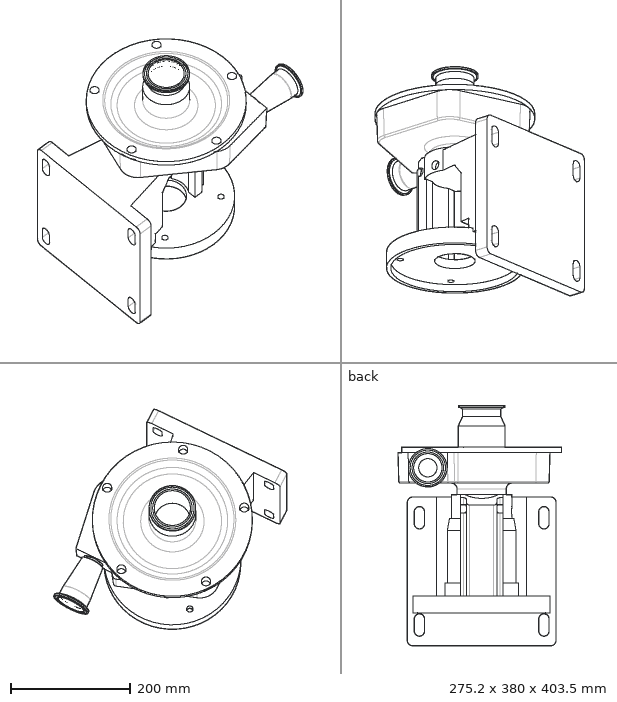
import cadquery as cq
import math

TOTAL_HEIGHT = 403.5

FLANGE_RADIUS = 134.5
FLANGE_TOP = 333.5
FLANGE_THICKNESS = 9.3
FLANGE_BOTTOM = FLANGE_TOP - FLANGE_THICKNESS
BOLT_COUNT = 5
BOLT_CIRCLE_RADIUS = 122.3
BOLT_HOLE_RADIUS = 7.5
BOLT_HOLE_DEPTH = 24.2
DRILL_TIP_HALF_ANGLE = 59.0
DISH_RIM_RADIUS = 106.5
DISH_DEPTH = 13.7
DISH_WALL_ANGLE = 40.0
DISH_RIM_ROUND = 5.0
DISH_FLOOR_ROUND = 16.0

SUCTION_RADIUS = 39.5
SUCTION_NECK_RADIUS = 32.3
SUCTION_BORE_RADIUS = 30.3
SUCTION_CONE_BOTTOM = 369.2
SUCTION_CONE_TOP = 385.0
SUCTION_RIM_RADIUS = 39.0

FERRULE_RIM_THICKNESS = 3.2
FERRULE_BACK_HEIGHT = 3.0
FERRULE_BACK_STEP = 2.5
FERRULE_GROOVE_RADIUS = 1.5

VOLUTE_SIDES = 5
VOLUTE_HALF_STEP = 180 / VOLUTE_SIDES
VOLUTE_CORNER_RADIUS = 33.5
VOLUTE_CORNER_CENTRE = 100.5
VOLUTE_HEIGHT = 51.2
VOLUTE_BOTTOM = FLANGE_BOTTOM - VOLUTE_HEIGHT
VOLUTE_DRAFT = 1.5
VOLUTE_EDGE_ROUND = 3.2
TONGUE_CORNER_RADIUS = 6.0
SHOULDER_Y = 116.0
SHOULDER_RIGHT_X = 123.5
SHOULDER_SIDE_ANGLE = 9.4

NOZZLE_X = 90.5
NOZZLE_Z = 299.0
NOZZLE_END_Y = 200.5
NOZZLE_CONE_START_Y = 119.5
NOZZLE_CONE_END_Y = 179.5
NOZZLE_ROOT_RADIUS = 17.5
NOZZLE_CONE_RADIUS = 19.8
NOZZLE_RADIUS = 26.0
NOZZLE_RIM_RADIUS = 32.3
NOZZLE_WALL = 2.0
NOZZLE_EMBED = 4.0

HUB_RADIUS = 41.5
HUB_FILLET = 9.5
COLLAR_RADIUS = 51.0
COLLAR_TOP = 254.0
COLLAR_BOTTOM = 213.5
COLLAR_HOLE_RADIUS = 7.5
COLLAR_HOLE_Z = 226.0

PLATE_SIZE = 250.0
PLATE_FRONT_Y = -179.5
PLATE_THICKNESS = 25.5
PLATE_BACK_Y = PLATE_FRONT_Y + PLATE_THICKNESS
PLATE_CORNER_RADIUS = 9.5
SLOT_WIDTH = 17.0
SLOT_LENGTH = 37.0
SLOT_SPACING_X = 209.0
SLOT_SPACING_Z = 180.0

MOTOR_FLANGE_RADIUS = 115.0
MOTOR_FLANGE_BOTTOM = 55.3
MOTOR_FLANGE_TOP = 84.0
MOTOR_BORE_RADIUS = 34.0
MOTOR_PILOT_RADIUS = 107.7
MOTOR_PILOT_DEPTH = 12.5
MOTOR_BOLT_COUNT = 4
MOTOR_BOLT_START_ANGLE = 45.0
MOTOR_BOLT_CIRCLE_RADIUS = 92.0
MOTOR_BOLT_RADIUS = 5.2

WEB_HALF_WIDTH_AT_PLATE = 75.5
WEB_HALF_WIDTH_AT_AXIS = 45.0
WEB_BOTTOM = 77.0
WEB_INNER_Y = -63.5
WEB_CHAMFER_Y = 17.8
WEB_CHAMFER_Z = 19.8
NOTCH_TOP = 105.5
NOTCH_LENGTH_Y = 20.5
NOTCH_ANGLE = 56.0

PILLAR_HALF_WIDTH = 36.0
PILLAR_FRONT_Y = 32.3
PILLAR_STEP_Y = 49.2
PILLAR_BACK_Y = 65.5
PILLAR_RIB_HALF_WIDTH = 25.5
PILLAR_ROUND = 5.2
PILLAR_RELIEF_RADIUS = 38.5
PILLAR_CHAMFER_Y = 22.5
PILLAR_CHAMFER_Z = 17.5
PILLAR_HOLE_RADIUS = 7.3
PILLAR_HOLE_Y = 47.0
PILLAR_HOLE_Z = 230.0


def polar(radius, degrees):
    angle = math.radians(degrees)
    return radius * math.cos(angle), radius * math.sin(angle)


def revolve_about_axis(profile):
    """Full turn of a closed XZ profile about the Z axis."""
    return profile.revolve(360, (0, 0), (0, 1))


def revolve_points(points):
    return revolve_about_axis(cq.Workplane("XZ").polyline(points).close())


def cylinder(radius, bottom, top):
    """Upright cylinder on the pump axis."""
    return cq.Workplane("XY").workplane(offset=bottom).circle(radius).extrude(top - bottom)


def rounded_outline(plane, corners):
    """Closed outline from (point, radius) corners; a radius of 0 keeps the corner sharp."""
    outline = None
    for index, (point, radius) in enumerate(corners):
        vertex = cq.Vector(*point)
        back = (cq.Vector(*corners[index - 1][0]) - vertex).normalized()
        ahead = (cq.Vector(*corners[(index + 1) % len(corners)][0]) - vertex).normalized()
        half_angle = back.getAngle(ahead) / 2
        start = vertex + back * (radius / math.tan(half_angle))
        end = vertex + ahead * (radius / math.tan(half_angle))
        bisector = (back + ahead).normalized()
        middle = vertex + bisector * (radius / math.sin(half_angle) - radius)
        outline = outline.lineTo(start.x, start.y) if outline else plane.moveTo(start.x, start.y)
        if radius > 0:
            outline = outline.threePointArc((middle.x, middle.y), (end.x, end.y))
    return outline.close()


def ferrule_groove(radius, end):
    """Gasket groove in a ferrule face at height `end` on the Z axis."""
    profile = cq.Workplane("XZ").moveTo(radius, end).circle(FERRULE_GROOVE_RADIUS)
    return revolve_about_axis(profile)


def make_volute():
    cosine = math.cos(math.radians(VOLUTE_HALF_STEP))
    apothem = VOLUTE_CORNER_CENTRE * cosine + VOLUTE_CORNER_RADIUS
    circumradius = apothem / cosine
    corner_angles = [index * 360 / VOLUTE_SIDES for index in range(VOLUTE_SIDES)]
    tongue_angle = corner_angles[1]

    side_slope = math.tan(math.radians(SHOULDER_SIDE_ANGLE))
    normal_x, normal_y = polar(1, -VOLUTE_HALF_STEP)
    clearance = apothem - normal_x * SHOULDER_RIGHT_X - normal_y * SHOULDER_Y
    drop = clearance / (normal_x * side_slope - normal_y)
    side_corner = (SHOULDER_RIGHT_X + side_slope * drop, SHOULDER_Y - drop)

    normal_x, normal_y = polar(1, VOLUTE_HALF_STEP)
    shoulder_left_x = (apothem - normal_y * SHOULDER_Y) / normal_x

    corners = [(polar(circumradius, angle), VOLUTE_CORNER_RADIUS) for angle in corner_angles[2:]]
    corners += [
        (side_corner, VOLUTE_CORNER_RADIUS),
        ((SHOULDER_RIGHT_X, SHOULDER_Y), 0),
        ((shoulder_left_x, SHOULDER_Y), 0),
        (polar(circumradius, tongue_angle), TONGUE_CORNER_RADIUS),
    ]
    plane = cq.Workplane("XY").workplane(offset=FLANGE_BOTTOM)
    volute = rounded_outline(plane, corners).extrude(-VOLUTE_HEIGHT, taper=VOLUTE_DRAFT)
    return volute.faces("<Z").edges().fillet(VOLUTE_EDGE_ROUND)


def dish_cutter():
    """Ring-shaped recess between the cover rim and the suction tube, rounded at both edges."""
    sine = math.sin(math.radians(DISH_WALL_ANGLE))
    versine = 1 - math.cos(math.radians(DISH_WALL_ANGLE))
    wall_drop = DISH_DEPTH - (DISH_RIM_ROUND + DISH_FLOOR_ROUND) * versine
    wall_run = wall_drop / math.tan(math.radians(DISH_WALL_ANGLE))
    wall_top = (DISH_RIM_RADIUS - DISH_RIM_ROUND * sine, FLANGE_TOP - DISH_RIM_ROUND * versine)
    wall_bottom = (wall_top[0] - wall_run, wall_top[1] - wall_drop)
    floor_z = FLANGE_TOP - DISH_DEPTH
    floor_end = (wall_bottom[0] - DISH_FLOOR_ROUND * sine, floor_z)
    profile = (
        cq.Workplane("XZ")
        .moveTo(DISH_RIM_RADIUS, FLANGE_TOP)
        .radiusArc(wall_top, -DISH_RIM_ROUND)
        .lineTo(*wall_bottom)
        .radiusArc(floor_end, DISH_FLOOR_ROUND)
        .lineTo(SUCTION_RADIUS + DISH_DEPTH, floor_z)
        .radiusArc((SUCTION_RADIUS, FLANGE_TOP), DISH_DEPTH)
        .close()
    )
    return revolve_about_axis(profile)


def bolt_hole_cutter():
    tip_depth = BOLT_HOLE_RADIUS / math.tan(math.radians(DRILL_TIP_HALF_ANGLE))
    bottom = FLANGE_TOP - BOLT_HOLE_DEPTH
    points = [
        (0, bottom - tip_depth),
        (BOLT_HOLE_RADIUS, bottom),
        (BOLT_HOLE_RADIUS, FLANGE_TOP),
        (0, FLANGE_TOP),
    ]
    return revolve_points(points)


def make_suction_tube():
    ferrule_back = TOTAL_HEIGHT - FERRULE_RIM_THICKNESS
    points = [
        (0, FLANGE_BOTTOM),
        (SUCTION_RADIUS, FLANGE_BOTTOM),
        (SUCTION_RADIUS, SUCTION_CONE_BOTTOM),
        (SUCTION_NECK_RADIUS, SUCTION_CONE_TOP),
        (SUCTION_NECK_RADIUS, ferrule_back - FERRULE_BACK_HEIGHT),
        (SUCTION_RIM_RADIUS - FERRULE_BACK_STEP, ferrule_back),
        (SUCTION_RIM_RADIUS, ferrule_back),
        (SUCTION_RIM_RADIUS, TOTAL_HEIGHT),
        (0, TOTAL_HEIGHT),
    ]
    tube = revolve_points(points)
    groove_radius = (SUCTION_BORE_RADIUS + SUCTION_RIM_RADIUS) / 2
    return tube.cut(ferrule_groove(groove_radius, TOTAL_HEIGHT))


def make_nozzle():
    """Tapered outlet tube, modelled upright and then turned to point along +Y."""
    ferrule_back = NOZZLE_END_Y - FERRULE_RIM_THICKNESS
    root_y = SHOULDER_Y - NOZZLE_EMBED
    outside = [
        (0, root_y),
        (NOZZLE_ROOT_RADIUS, root_y),
        (NOZZLE_ROOT_RADIUS, NOZZLE_CONE_START_Y),
        (NOZZLE_CONE_RADIUS, NOZZLE_CONE_START_Y),
        (NOZZLE_RADIUS, NOZZLE_CONE_END_Y),
        (NOZZLE_RADIUS, ferrule_back - FERRULE_BACK_HEIGHT),
        (NOZZLE_RIM_RADIUS - FERRULE_BACK_STEP, ferrule_back),
        (NOZZLE_RIM_RADIUS, ferrule_back),
        (NOZZLE_RIM_RADIUS, NOZZLE_END_Y),
        (0, NOZZLE_END_Y),
    ]
    bore = [
        (0, SHOULDER_Y),
        (NOZZLE_ROOT_RADIUS - NOZZLE_WALL, SHOULDER_Y),
        (NOZZLE_ROOT_RADIUS - NOZZLE_WALL, NOZZLE_CONE_START_Y),
        (NOZZLE_RADIUS - NOZZLE_WALL, NOZZLE_CONE_END_Y),
        (NOZZLE_RADIUS - NOZZLE_WALL, NOZZLE_END_Y),
        (0, NOZZLE_END_Y),
    ]
    nozzle = revolve_points(outside).cut(revolve_points(bore))
    groove_radius = (NOZZLE_RADIUS - NOZZLE_WALL + NOZZLE_RIM_RADIUS) / 2
    nozzle = nozzle.cut(ferrule_groove(groove_radius, NOZZLE_END_Y))
    nozzle = nozzle.rotate((0, 0, 0), (1, 0, 0), -90)
    return nozzle.translate((NOZZLE_X, 0, NOZZLE_Z))


def make_pump_head():
    head = make_volute().union(cylinder(FLANGE_RADIUS, FLANGE_BOTTOM, FLANGE_TOP))
    head = head.cut(dish_cutter()).union(make_suction_tube())
    head = head.cut(cylinder(SUCTION_BORE_RADIUS, FLANGE_BOTTOM, TOTAL_HEIGHT))
    for index in range(BOLT_COUNT):
        x, y = polar(BOLT_CIRCLE_RADIUS, index * 360 / BOLT_COUNT)
        head = head.cut(bolt_hole_cutter().translate((x, y, 0)))
    return head.union(make_nozzle())


def make_hub():
    """Stub under the volute that flares into the volute floor and fills the collar."""
    profile = (
        cq.Workplane("XZ")
        .moveTo(0, COLLAR_BOTTOM)
        .lineTo(HUB_RADIUS, COLLAR_BOTTOM)
        .lineTo(HUB_RADIUS, VOLUTE_BOTTOM - HUB_FILLET)
        .radiusArc((HUB_RADIUS + HUB_FILLET, VOLUTE_BOTTOM), HUB_FILLET)
        .lineTo(0, VOLUTE_BOTTOM)
        .close()
    )
    return revolve_about_axis(profile)


def make_plate():
    plate = (
        cq.Workplane("XZ", origin=(0, PLATE_BACK_Y, PLATE_SIZE / 2))
        .rect(PLATE_SIZE, PLATE_SIZE)
        .extrude(PLATE_THICKNESS)
        .edges("|Y")
        .fillet(PLATE_CORNER_RADIUS)
    )
    slots = (
        cq.Workplane("XZ", origin=(0, PLATE_BACK_Y, PLATE_SIZE / 2))
        .rect(SLOT_SPACING_X, SLOT_SPACING_Z, forConstruction=True)
        .vertices()
        .slot2D(SLOT_LENGTH, SLOT_WIDTH, 90)
        .extrude(PLATE_THICKNESS)
    )
    return plate.cut(slots)


def web_half_width(y):
    slope = (WEB_HALF_WIDTH_AT_PLATE - WEB_HALF_WIDTH_AT_AXIS) / PLATE_BACK_Y
    return WEB_HALF_WIDTH_AT_AXIS + slope * y


def make_web():
    side = [
        (PLATE_BACK_Y, WEB_BOTTOM),
        (PLATE_BACK_Y, PLATE_SIZE),
        (0, PLATE_SIZE),
        (0, COLLAR_BOTTOM),
        (WEB_INNER_Y + WEB_CHAMFER_Y, COLLAR_BOTTOM),
        (WEB_INNER_Y, COLLAR_BOTTOM - WEB_CHAMFER_Z),
        (WEB_INNER_Y, WEB_BOTTOM),
    ]
    plan = [
        (-WEB_HALF_WIDTH_AT_PLATE, PLATE_BACK_Y),
        (WEB_HALF_WIDTH_AT_PLATE, PLATE_BACK_Y),
        (WEB_HALF_WIDTH_AT_AXIS, 0),
        (-WEB_HALF_WIDTH_AT_AXIS, 0),
    ]
    web = cq.Workplane("YZ").polyline(side).close().extrude(WEB_HALF_WIDTH_AT_PLATE, both=True)
    web = web.intersect(cq.Workplane("XY").polyline(plan).close().extrude(PLATE_SIZE))

    notch_start_y = WEB_INNER_Y - NOTCH_LENGTH_Y
    outer_x = web_half_width(notch_start_y)
    inner_x = outer_x - NOTCH_LENGTH_Y * math.tan(math.radians(NOTCH_ANGLE))
    for side_sign in (-1, 1):
        wedge = [
            (side_sign * outer_x, notch_start_y),
            (side_sign * inner_x, WEB_INNER_Y),
            (side_sign * outer_x, WEB_INNER_Y),
        ]
        web = web.cut(cq.Workplane("XY").polyline(wedge).close().extrude(NOTCH_TOP))
    return web


def make_motor_flange():
    """Round flange with a shaft bore and a motor pilot recess in its underside."""
    flange = cylinder(MOTOR_FLANGE_RADIUS, MOTOR_FLANGE_BOTTOM, MOTOR_FLANGE_TOP)
    flange = flange.cut(cylinder(MOTOR_BORE_RADIUS, MOTOR_FLANGE_BOTTOM, MOTOR_FLANGE_TOP))
    return flange.cut(
        cylinder(MOTOR_PILOT_RADIUS, MOTOR_FLANGE_BOTTOM, MOTOR_FLANGE_BOTTOM + MOTOR_PILOT_DEPTH)
    )


def motor_bolt_holes():
    return (
        cq.Workplane("XY")
        .workplane(offset=MOTOR_FLANGE_BOTTOM)
        .polarArray(MOTOR_BOLT_CIRCLE_RADIUS, MOTOR_BOLT_START_ANGLE, 360, MOTOR_BOLT_COUNT)
        .circle(MOTOR_BOLT_RADIUS)
        .extrude(MOTOR_FLANGE_TOP - MOTOR_FLANGE_BOTTOM)
    )


def make_pillar():
    """T-shaped post, hollowed toward the pump axis and bevelled at the top rear edge."""
    corners = [
        ((-PILLAR_HALF_WIDTH, PILLAR_FRONT_Y), 0),
        ((PILLAR_HALF_WIDTH, PILLAR_FRONT_Y), 0),
        ((PILLAR_HALF_WIDTH, PILLAR_STEP_Y), 0),
        ((PILLAR_RIB_HALF_WIDTH, PILLAR_STEP_Y), PILLAR_ROUND),
        ((PILLAR_RIB_HALF_WIDTH, PILLAR_BACK_Y), PILLAR_ROUND),
        ((-PILLAR_RIB_HALF_WIDTH, PILLAR_BACK_Y), PILLAR_ROUND),
        ((-PILLAR_RIB_HALF_WIDTH, PILLAR_STEP_Y), PILLAR_ROUND),
        ((-PILLAR_HALF_WIDTH, PILLAR_STEP_Y), 0),
    ]
    plane = cq.Workplane("XY").workplane(offset=MOTOR_FLANGE_TOP)
    pillar = rounded_outline(plane, corners).extrude(COLLAR_TOP - MOTOR_FLANGE_TOP)
    pillar = pillar.cut(cylinder(PILLAR_RELIEF_RADIUS, MOTOR_FLANGE_TOP, COLLAR_BOTTOM))
    bevel = [
        (PILLAR_BACK_Y, COLLAR_TOP - PILLAR_CHAMFER_Z),
        (PILLAR_BACK_Y, COLLAR_TOP),
        (PILLAR_BACK_Y - PILLAR_CHAMFER_Y, COLLAR_TOP),
    ]
    return pillar.cut(cq.Workplane("YZ").polyline(bevel).close().extrude(PILLAR_HALF_WIDTH, both=True))


def pillar_hole_cutter():
    plane = cq.Workplane("YZ", origin=(0, PILLAR_HOLE_Y, PILLAR_HOLE_Z))
    return plane.circle(PILLAR_HOLE_RADIUS).extrude(PILLAR_HALF_WIDTH, both=True)


def make_bracket():
    collar = cylinder(COLLAR_RADIUS, COLLAR_BOTTOM, COLLAR_TOP)
    bracket = collar.union(make_web()).union(make_pillar()).cut(pillar_hole_cutter())
    side_hole = cq.Workplane("YZ", origin=(0, 0, COLLAR_HOLE_Z)).circle(COLLAR_HOLE_RADIUS)
    bracket = bracket.cut(side_hole.extrude(-COLLAR_RADIUS))
    bracket = bracket.union(make_plate()).union(make_motor_flange())
    return bracket.cut(motor_bolt_holes())


result = make_bracket().union(make_hub()).union(make_pump_head())